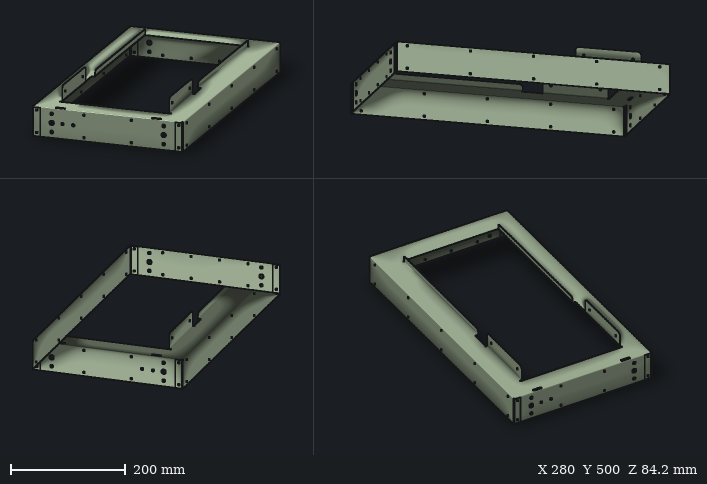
import cadquery as cq

LENGTH_X = 280.0
LENGTH_Y = 500.0
FRAME_HEIGHT = 55.0
TOTAL_HEIGHT = 84.18
SHEET = 0.49
BEND_OUTER_RADIUS = 2.12
BEND_INNER_RADIUS = BEND_OUTER_RADIUS - SHEET

OPENING_Y_MIN = -210.0
OPENING_Y_MAX = 207.0
WIDE_Y_MAX = -51.3

TALL_FACE_X = 99.1
WIDE_HALF_WIDTH = TALL_FACE_X + BEND_OUTER_RADIUS
TALL_Y_RANGE = (-208.5, -88.5)
TALL_CORNER_RADIUS = 6.0
LOW_FACE_X = 95.2
LOW_Y_RANGE = (WIDE_Y_MAX, 205.0)
LOW_TOP_Z = 66.5
LOW_FRONT_CORNER_RADIUS = 6.0
LOW_BACK_CORNER_RADIUS = 3.0
RELIEF_DEPTH = 1.8
RELIEF_WIDTH = 0.5

TAB_WIDTH = 14.5

RIVET_DIAMETER = 3.0
RIVET_ROWS_Z = (7.0, 48.0)
RIVET_EDGE_X = 132.0
FRONT_RIVET_COLUMNS = 4
BACK_RIVET_COLUMNS = 6
SIDE_RIVET_END_Y = 230.0
SIDE_RIVET_COLUMNS = 5

CONNECTOR_X = 104.0
CONNECTOR_Z = FRAME_HEIGHT / 2
CONNECTOR_DIAMETER = 8.0
CONNECTOR_SCREW_DIAMETER = 5.0
CONNECTOR_SCREW_OFFSET = 16.6
CABLE_HOLE_DIAMETER = 4.24
CABLE_HOLE_X = (-84.0, -64.0)

TALL_HOLE_DIAMETER = 3.26
TALL_HOLE_Z = 69.8
TALL_HOLE_Y = (-193.5, -103.5)

SLOT_LENGTH = 16.5
SLOT_WIDTH = 3.5
SLOT_X = 89.2
SLOT_Y = -245.0

CUT_REACH = 20.0


def block(x_range, y_range, z_range):
    """Box between the given limits."""
    return (
        cq.Workplane("XY")
        .box(
            x_range[1] - x_range[0],
            y_range[1] - y_range[0],
            z_range[1] - z_range[0],
            centered=False,
        )
        .translate((x_range[0], y_range[0], z_range[0]))
    )


def evenly_spaced(end, count):
    """Positions spread evenly from -end to +end."""
    pitch = 2 * end / (count - 1)
    return [-end + i * pitch for i in range(count)]


def drill_along_y(x, y, z, diameter):
    """Cutter for a hole through an end wall centred near y."""
    plane = cq.Plane(origin=(x, y, z), xDir=(1, 0, 0), normal=(0, 1, 0))
    return cq.Workplane(plane).circle(diameter / 2).extrude(CUT_REACH / 2, both=True)


def drill_along_x(x, y, z, diameter):
    """Cutter for a hole through a side wall or flange centred near x."""
    plane = cq.Plane(origin=(x, y, z), xDir=(0, 1, 0), normal=(1, 0, 0))
    return cq.Workplane(plane).circle(diameter / 2).extrude(CUT_REACH / 2, both=True)


def bent_tray_solid(inset, bend_radius):
    """Solid block inset from the outer faces, with its top edges rounded."""
    return (
        cq.Workplane("XY")
        .box(
            LENGTH_X - 2 * inset,
            LENGTH_Y - 2 * inset,
            FRAME_HEIGHT - inset,
            centered=(True, True, False),
        )
        .faces(">Z")
        .edges()
        .fillet(bend_radius)
    )


def round_cornered_prism(inset_x, inset_y, height, corner_radius):
    """Upright prism inset from the outer faces, with its vertical edges rounded."""
    return (
        cq.Workplane("XY")
        .rect(LENGTH_X - 2 * inset_x, LENGTH_Y - 2 * inset_y)
        .extrude(height)
        .edges("|Z")
        .fillet(corner_radius)
    )


def make_tray():
    """Top plate with four walls bent down, open at the bottom, with rounded vertical corners."""
    tray = bent_tray_solid(0, BEND_OUTER_RADIUS).cut(bent_tray_solid(SHEET, BEND_INNER_RADIUS))
    return tray.intersect(round_cornered_prism(0, 0, FRAME_HEIGHT, BEND_OUTER_RADIUS))


def make_wall_tabs():
    """Side-wall tabs bent round the vertical corners and lapping behind the end walls."""
    height = FRAME_HEIGHT - BEND_OUTER_RADIUS
    ring = round_cornered_prism(0, SHEET, height, BEND_OUTER_RADIUS)
    core = round_cornered_prism(SHEET, 2 * SHEET, height, BEND_INNER_RADIUS)
    middle_half_width = LENGTH_X / 2 - TAB_WIDTH
    middle = block(
        (-middle_half_width, middle_half_width),
        (-LENGTH_Y / 2, LENGTH_Y / 2),
        (0, height),
    )
    return ring.cut(core).cut(middle)


def make_opening():
    """Cutter for the stepped opening in the top plate."""
    z_range = (FRAME_HEIGHT - CUT_REACH, FRAME_HEIGHT + CUT_REACH)
    narrow = block((-LOW_FACE_X, LOW_FACE_X), (OPENING_Y_MIN, OPENING_Y_MAX), z_range)
    wide = block((-WIDE_HALF_WIDTH, WIDE_HALF_WIDTH), (OPENING_Y_MIN, WIDE_Y_MAX), z_range)
    return narrow.union(wide)


def make_flange(face_x, y_range, top_z, front_radius, back_radius):
    """Upright flange on the +X side, bent up from the top plate; its inner face is at face_x."""
    tangent_x = face_x + BEND_OUTER_RADIUS
    plate_z = FRAME_HEIGHT - SHEET
    tangent_z = plate_z + BEND_OUTER_RADIUS
    profile = (
        cq.Workplane("XZ", origin=(0, y_range[1], 0))
        .moveTo(tangent_x, plate_z)
        .radiusArc((face_x, tangent_z), BEND_OUTER_RADIUS)
        .lineTo(face_x, top_z)
        .lineTo(face_x + SHEET, top_z)
        .lineTo(face_x + SHEET, tangent_z)
        .radiusArc((tangent_x, FRAME_HEIGHT), -BEND_INNER_RADIUS)
        .lineTo(tangent_x + SHEET, FRAME_HEIGHT)
        .lineTo(tangent_x + SHEET, plate_z)
        .close()
        .extrude(y_range[1] - y_range[0])
    )
    flange = profile.edges("|X and >Z and <Y").fillet(front_radius)
    return flange.edges("|X and >Z and >Y").fillet(back_radius)


def make_bend_clearance(face_x, y_range):
    """Cutter clearing the flat plate where a +X flange bends up."""
    return block(
        (face_x - SHEET, face_x + BEND_OUTER_RADIUS),
        y_range,
        (FRAME_HEIGHT - 2 * SHEET, FRAME_HEIGHT + SHEET),
    )


def mirrored_pair(body):
    """The body together with its mirror image across the YZ plane."""
    return body.union(body.mirror("YZ"))


def make_reliefs():
    """Cutter for the bend relief notches at both ends of the +X tall flange."""
    x_range = (WIDE_HALF_WIDTH, WIDE_HALF_WIDTH + RELIEF_DEPTH)
    z_range = (FRAME_HEIGHT - 2 * SHEET, FRAME_HEIGHT + SHEET)
    front = block(x_range, (OPENING_Y_MIN, TALL_Y_RANGE[0]), z_range)
    back = block(x_range, (TALL_Y_RANGE[1], TALL_Y_RANGE[1] + RELIEF_WIDTH), z_range)
    return front.union(back)


def cut_rivet_holes(body):
    """Rivet holes in two rows round all four walls."""
    for z in RIVET_ROWS_Z:
        for x in evenly_spaced(RIVET_EDGE_X, FRONT_RIVET_COLUMNS):
            body = body.cut(drill_along_y(x, -LENGTH_Y / 2, z, RIVET_DIAMETER))
        for x in evenly_spaced(RIVET_EDGE_X, BACK_RIVET_COLUMNS):
            body = body.cut(drill_along_y(x, LENGTH_Y / 2, z, RIVET_DIAMETER))
        for y in evenly_spaced(SIDE_RIVET_END_Y, SIDE_RIVET_COLUMNS):
            for x in (-LENGTH_X / 2, LENGTH_X / 2):
                body = body.cut(drill_along_x(x, y, z, RIVET_DIAMETER))
    return body


def cut_connector_holes(body):
    """Large holes with a screw hole above and below, in both end walls, and two cable holes in front."""
    for y in (-LENGTH_Y / 2, LENGTH_Y / 2):
        for x in (-CONNECTOR_X, CONNECTOR_X):
            body = body.cut(drill_along_y(x, y, CONNECTOR_Z, CONNECTOR_DIAMETER))
            for offset in (-CONNECTOR_SCREW_OFFSET, CONNECTOR_SCREW_OFFSET):
                body = body.cut(drill_along_y(x, y, CONNECTOR_Z + offset, CONNECTOR_SCREW_DIAMETER))
    for x in CABLE_HOLE_X:
        body = body.cut(drill_along_y(x, -LENGTH_Y / 2, CONNECTOR_Z, CABLE_HOLE_DIAMETER))
    return body


def cut_tall_flange_holes(body):
    """Two holes through each tall flange."""
    for x in (-TALL_FACE_X, TALL_FACE_X):
        for y in TALL_HOLE_Y:
            body = body.cut(drill_along_x(x, y, TALL_HOLE_Z, TALL_HOLE_DIAMETER))
    return body


def cut_slots(body):
    """Two rectangular slots through the top plate beside the front wall."""
    for x in (-SLOT_X, SLOT_X):
        slot = block(
            (x - SLOT_LENGTH / 2, x + SLOT_LENGTH / 2),
            (SLOT_Y - SLOT_WIDTH / 2, SLOT_Y + SLOT_WIDTH / 2),
            (FRAME_HEIGHT - 2 * SHEET, FRAME_HEIGHT + SHEET),
        )
        body = body.cut(slot)
    return body


tall_flange = make_flange(
    TALL_FACE_X, TALL_Y_RANGE, TOTAL_HEIGHT, TALL_CORNER_RADIUS, TALL_CORNER_RADIUS
)
low_flange = make_flange(
    LOW_FACE_X, LOW_Y_RANGE, LOW_TOP_Z, LOW_FRONT_CORNER_RADIUS, LOW_BACK_CORNER_RADIUS
)

frame = make_tray().union(make_wall_tabs()).cut(make_opening())
frame = frame.cut(mirrored_pair(make_bend_clearance(TALL_FACE_X, TALL_Y_RANGE)))
frame = frame.cut(mirrored_pair(make_bend_clearance(LOW_FACE_X, LOW_Y_RANGE)))
frame = frame.cut(mirrored_pair(make_reliefs()))
frame = frame.union(mirrored_pair(tall_flange)).union(mirrored_pair(low_flange))
frame = cut_rivet_holes(frame)
frame = cut_connector_holes(frame)
frame = cut_tall_flange_holes(frame)
result = cut_slots(frame)